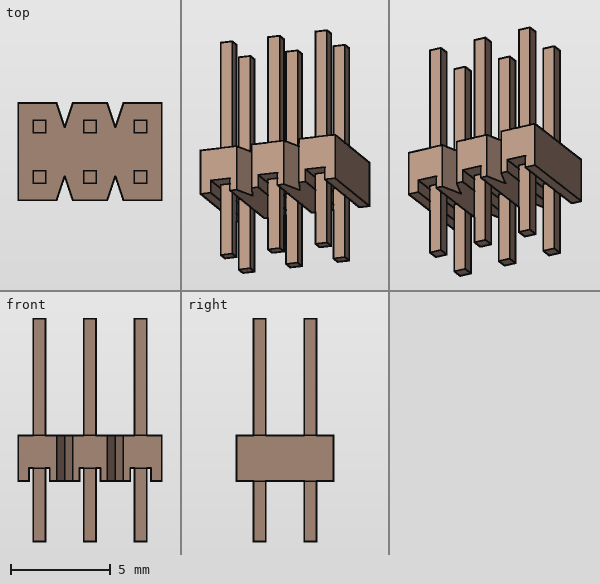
import cadquery as cq

columns = 3
rows = 2
pitch = 2.54

pin_length = 11.18
pin_width = 0.63
pin_tail = 3.04

body_length = 7.21
body_depth = 4.87
body_height = 2.29

notch_width = 0.8
notch_depth = 1.21

channel_width = 1.03
channel_height = 0.65


def centered_positions(count):
    """Positions of evenly pitched items, centered on zero."""
    return [(i - (count - 1) / 2) * pitch for i in range(count)]


column_xs = centered_positions(columns)
row_ys = centered_positions(rows)
notch_xs = centered_positions(columns - 1)


def make_body():
    """Plain insulator block standing on the XY plane."""
    return cq.Workplane("XY").box(body_length, body_depth, body_height, centered=(True, True, False))


def make_notch(x, side):
    """Full-height V notch at x, in the +Y (side = 1) or -Y (side = -1) face."""
    face_y = side * body_depth / 2
    tip_y = face_y - side * notch_depth
    return (
        cq.Workplane("XY")
        .moveTo(x - notch_width / 2, face_y)
        .lineTo(x, tip_y)
        .lineTo(x + notch_width / 2, face_y)
        .close()
        .extrude(body_height)
    )


def make_channel(x):
    """Channel in the underside of the body, running through along Y."""
    return (
        cq.Workplane("XY")
        .center(x, 0)
        .box(channel_width, body_depth, channel_height, centered=(True, True, False))
    )


def make_pins():
    """Grid of square pins passing through the body."""
    return (
        cq.Workplane("XY")
        .workplane(offset=-pin_tail)
        .pushPoints([(x, y) for x in column_xs for y in row_ys])
        .rect(pin_width, pin_width)
        .extrude(pin_length)
    )


body = make_body()
for notch_x in notch_xs:
    for face_side in (-1, 1):
        body = body.cut(make_notch(notch_x, face_side))
for channel_x in column_xs:
    body = body.cut(make_channel(channel_x))

result = body.union(make_pins())